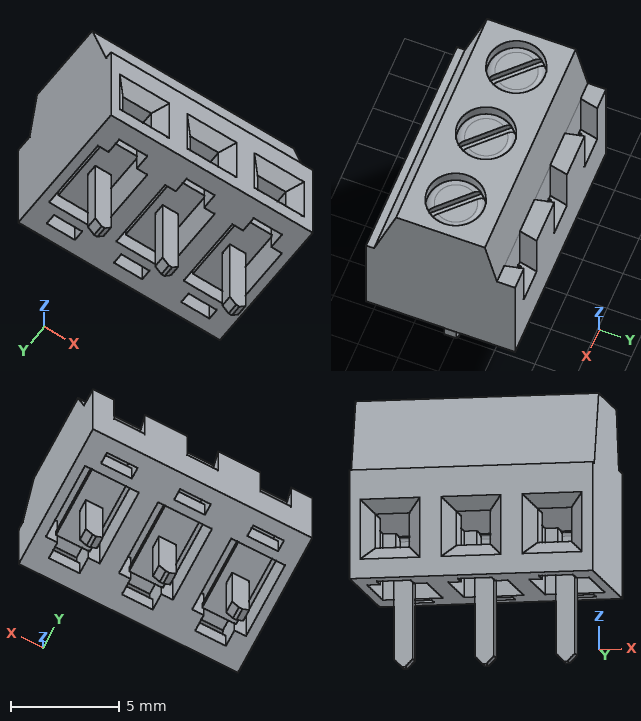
import cadquery as cq


POLES = 3
LENGTH = 11.43
PITCH = LENGTH / POLES
DEPTH = 7.4
HEIGHT = 12.2

BASE_Z = 3.6
FRONT_LEDGE = 0.4
FRONT_LEDGE_Z = BASE_Z + 5.1
BACK_LEDGE = 0.9
BACK_LEDGE_Z = BASE_Z + 5.88
TOP_INSET = 1.5

ENTRY_SIZE = 2.8
CHANNEL_SIZE = 1.6
FUNNEL_DEPTH = (ENTRY_SIZE - CHANNEL_SIZE) / 2
ENTRY_Z = BASE_Z + 2.3
CHANNEL_FLOOR_Z = ENTRY_Z - CHANNEL_SIZE / 2
CHANNEL_TOP_Z = ENTRY_Z + CHANNEL_SIZE / 2
CHANNEL_BACK = DEPTH - 0.72
CHANNEL_FILLET = 0.2

NECK_END = 0.9
CAVITY_FRONT = 1.76
CAVITY_BACK = DEPTH - CAVITY_FRONT
CAVITY_WIDTH = ENTRY_SIZE
REAR_SLOT_FRONT = 6.1

GROOVE_BACK_WIDTH = CHANNEL_SIZE
GROOVE_INNER_WIDTH = 1.99
GROOVE_FLOOR_Z = CHANNEL_TOP_Z - 0.02

SCREW_DIAMETER = 2.8
SCREW_Y = DEPTH / 2
HEAD_RECESS = 0.34
HEAD_ROUND = 0.4
DRIVE_SLOT_WIDTH = 0.4
DRIVE_SLOT_DEPTH = 0.4

PLATE_WIDTH = 1.76
PLATE_THICKNESS = 0.5
PIN_WIDTH = 0.89
PIN_THICKNESS = 0.6
PIN_FRONT = 3.31
PIN_CHAMFER = 0.35


def block(x, width, y_range, z_range):
    """Box centred on x that fills the given Y and Z ranges."""
    y0, y1 = y_range
    z0, z1 = z_range
    box = cq.Workplane("XY").box(width, y1 - y0, z1 - z0, centered=(True, False, False))
    return box.translate((x, y0, z0))


def housing():
    """Solid housing: a stepped profile with sloping sides, extruded along X."""
    profile = [
        (0, BASE_Z),
        (DEPTH, BASE_Z),
        (DEPTH, BACK_LEDGE_Z),
        (DEPTH - BACK_LEDGE, BACK_LEDGE_Z),
        (DEPTH - TOP_INSET, HEIGHT),
        (TOP_INSET, HEIGHT),
        (FRONT_LEDGE, FRONT_LEDGE_Z),
        (0, FRONT_LEDGE_Z),
    ]
    return cq.Workplane("YZ").polyline(profile).close().extrude(LENGTH / 2, both=True)


def wire_entry(x):
    """Tapered funnel leading into a square channel with a rounded top back corner."""
    funnel = (
        cq.Workplane("XZ", origin=(x, 0, ENTRY_Z))
        .rect(ENTRY_SIZE, ENTRY_SIZE)
        .workplane(offset=-FUNNEL_DEPTH)
        .rect(CHANNEL_SIZE, CHANNEL_SIZE)
        .loft(ruled=True)
    )
    channel = block(x, CHANNEL_SIZE, (FUNNEL_DEPTH, CHANNEL_BACK), (CHANNEL_FLOOR_Z, CHANNEL_TOP_Z))
    return funnel.union(channel.edges(">Y and >Z").fillet(CHANNEL_FILLET))


def clamp_cavity(x):
    """Wide cavity with narrow slots in front and behind, all open at the bottom."""
    wide = block(x, CAVITY_WIDTH, (CAVITY_FRONT, CAVITY_BACK), (BASE_Z, CHANNEL_TOP_Z))
    front = block(x, CHANNEL_SIZE, (NECK_END, CAVITY_FRONT), (BASE_Z, CHANNEL_FLOOR_Z))
    rear = block(x, CHANNEL_SIZE, (REAR_SLOT_FRONT, CHANNEL_BACK), (BASE_Z, CHANNEL_FLOOR_Z))
    return wide.union(front).union(rear)


def dovetail_groove(x):
    """Groove through the back ledge that widens towards the front."""
    outline = [
        (x - GROOVE_BACK_WIDTH / 2, DEPTH),
        (x - GROOVE_INNER_WIDTH / 2, DEPTH - BACK_LEDGE),
        (x + GROOVE_INNER_WIDTH / 2, DEPTH - BACK_LEDGE),
        (x + GROOVE_BACK_WIDTH / 2, DEPTH),
    ]
    depth = BACK_LEDGE_Z - GROOVE_FLOOR_Z
    return cq.Workplane("XY", origin=(0, 0, GROOVE_FLOOR_Z)).polyline(outline).close().extrude(depth)


def screw_recess(x):
    """Space in the screw bore above a rounded, slotted screw head."""
    head_z = HEIGHT - HEAD_RECESS
    bore_floor_z = head_z - HEAD_ROUND
    bore = (
        cq.Workplane("XY", origin=(x, SCREW_Y, bore_floor_z))
        .circle(SCREW_DIAMETER / 2)
        .extrude(HEIGHT - bore_floor_z)
    )
    radius = SCREW_DIAMETER / 2
    flat_radius = radius - HEAD_ROUND
    head = (
        cq.Workplane("XZ", origin=(x, SCREW_Y, bore_floor_z))
        .lineTo(radius, 0)
        .radiusArc((flat_radius, HEAD_ROUND), -HEAD_ROUND)
        .lineTo(0, HEAD_ROUND)
        .close()
        .revolve(360, (0, 0), (0, 1))
    )
    slot = (
        cq.Workplane("XY")
        .box(SCREW_DIAMETER, DRIVE_SLOT_WIDTH, DRIVE_SLOT_DEPTH, centered=(True, True, False))
        .rotate((0, 0, 0), (0, 0, 1), -45)
        .translate((x, SCREW_Y, head_z - DRIVE_SLOT_DEPTH))
        .intersect(bore)
    )
    return bore.cut(head).union(slot)


def clamp_with_pin(x):
    """Horizontal clamp plate carrying a solder pin with a chamfered tip."""
    plate_bottom_z = CHANNEL_FLOOR_Z - PLATE_THICKNESS
    plate = block(x, PLATE_WIDTH, (CAVITY_FRONT, CAVITY_BACK), (plate_bottom_z, CHANNEL_FLOOR_Z))
    pin = block(x, PIN_WIDTH, (PIN_FRONT, PIN_FRONT + PIN_THICKNESS), (0, plate_bottom_z))
    return plate.union(pin.edges("|Y and <Z").chamfer(PIN_CHAMFER))


result = housing()
for pole in range(POLES):
    pole_x = (pole - (POLES - 1) / 2) * PITCH
    result = result.cut(wire_entry(pole_x))
    result = result.cut(clamp_cavity(pole_x))
    result = result.cut(dovetail_groove(pole_x))
    result = result.cut(screw_recess(pole_x))
    result = result.union(clamp_with_pin(pole_x))